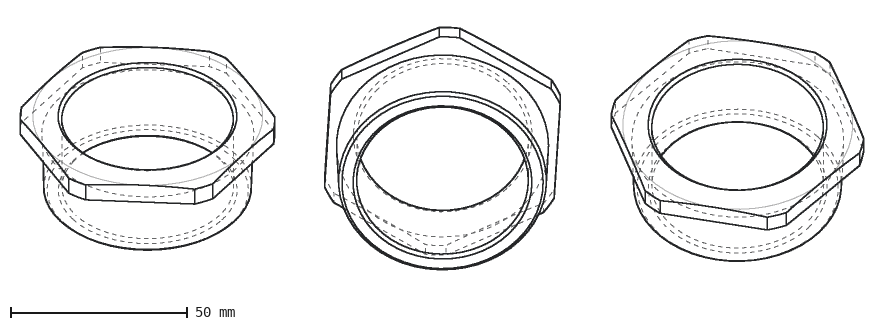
import cadquery as cq

across_flats = 65.0
corner_diameter = 72.0
total_height = 26.0
flange_height = 6.0
corner_bevel_drop = 0.7

spigot_top_diameter = 60.0
diameter_taper = 1 / 16
spigot_chamfer_height = 0.9
spigot_chamfer_width = 0.9

bore_diameter = 48.5
bore_chamfer = 1.0

HEX_SIDES = 6
flange_bottom = total_height - flange_height


def revolve_profile(points):
    """Revolve a closed (radius, height) outline about the Z axis."""
    return cq.Workplane("XZ").polyline(points).close().revolve(360, (0, 0), (0, 1))


def make_flange():
    """Hexagon, corners on the Y axis, with rounded-off corners and a shallow bevel on its top."""
    hexagon = (
        cq.Workplane("XY", origin=(0, 0, flange_bottom))
        .polygon(HEX_SIDES, across_flats, circumscribed=True)
        .extrude(flange_height)
    )
    corner_radius = corner_diameter / 2
    envelope = revolve_profile([
        (0, flange_bottom),
        (corner_radius, flange_bottom),
        (corner_radius, total_height - corner_bevel_drop),
        (across_flats / 2, total_height),
        (0, total_height),
    ])
    return hexagon.intersect(envelope)


def make_spigot():
    """Tapered round spigot with a chamfered lower end."""
    top_radius = spigot_top_diameter / 2
    radius = top_radius - diameter_taper / 2 * (flange_bottom - spigot_chamfer_height)
    return revolve_profile([
        (0, 0),
        (radius - spigot_chamfer_width, 0),
        (radius, spigot_chamfer_height),
        (top_radius, flange_bottom),
        (0, flange_bottom),
    ])


def make_bore():
    """Through bore, chamfered at both ends."""
    radius = bore_diameter / 2
    return revolve_profile([
        (0, 0),
        (radius + bore_chamfer, 0),
        (radius, bore_chamfer),
        (radius, total_height - bore_chamfer),
        (radius + bore_chamfer, total_height),
        (0, total_height),
    ])


result = make_flange().union(make_spigot()).cut(make_bore())